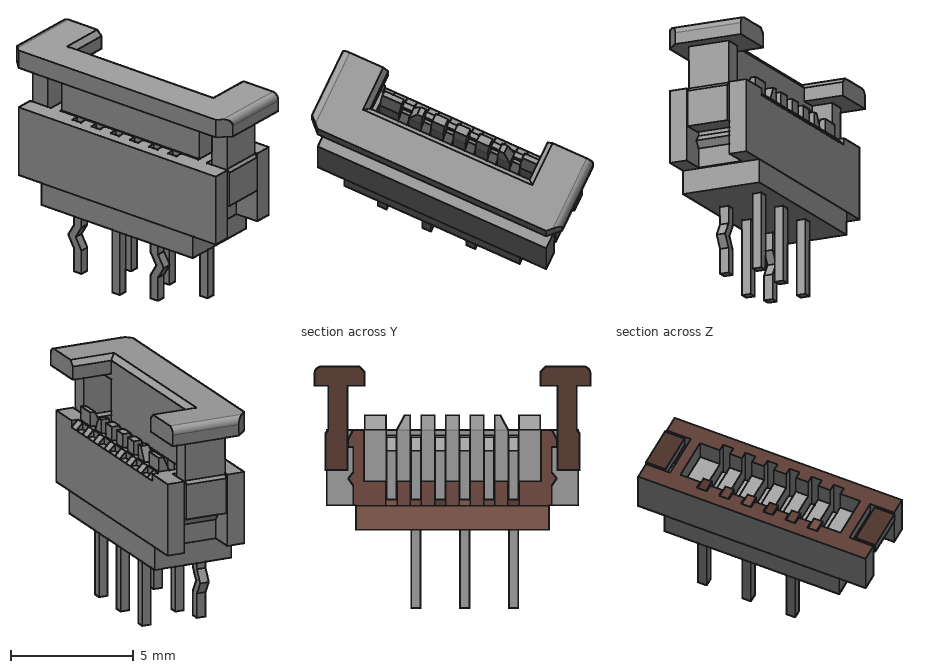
import cadquery as cq

CONTACT_COUNT = 6
LEG_SPACING = 2.0
PITCH = LEG_SPACING / 2
WIRE = 0.4
ROW_Y = LEG_SPACING / 2
LEG_LENGTH = 3.21
KINKED_LEG_LENGTH = 2.86
KINK_START = 0.75
KINK_PEAK = 1.27
KINK_END = 1.8
KINK_OFFSET = 0.3
KINKED_CONTACTS = {0: -1, 4: 1}
FOOT_HEIGHT = 0.25
FOOT_HALF_Y = ROW_Y + WIRE / 2
BEAM_BACK_Y = 1.23
BEAM_FRONT_Y = 0.68
BEAM_SLOPE_HEIGHT = 0.56
BEAM_TIP_WIDTH = 0.14
BEAM_TIP_Z = 2.87

DEPTH_Y = 3.5
HALF_Y = DEPTH_Y / 2
BASE_LENGTH = 7.91
BASE_HEIGHT = 1.0

HOUSING_LENGTH = 10.3
HOUSING_HEIGHT = 3.1
GROOVE_WIDTH = 1.97
WEB_X = 4.07
LATCH_RIDGE_X = 4.27
HOOK_TOP_Z = 2.71
HOOK_BOTTOM_Z = 2.38
RIDGE_PEAK_Z = 1.11
RIDGE_BOTTOM_Z = 0.81
RIDGE_TOP_Z = 1.36
CAVITY_LENGTH = 7.23
CAVITY_FRONT_Y = -0.95
CAVITY_BACK_Y = 0.9
CAVITY_FLOOR_Z = 1.0
SLOT_WIDTH = 0.44
SLOT_FRONT_Y = -1.28
SLOT_BACK_Y = BEAM_BACK_Y
REBATE = 0.29

GUIDE_HEIGHT = 0.6
GUIDE_BACK_Y = 1.39
GUIDE_END_TOP_Y = 1.18
GUIDE_MIDDLE_TOP_Y = 1.04
GUIDE_MIDDLE_SLANT = 0.32

BAR_LENGTH = 11.3
BAR_TOP_Z = 5.7
BAR_HEIGHT = 0.8
BAR_CORNER = 0.5
BAR_FILLET = 0.3
BLADE_LENGTH = 7.19
BLADE_FRONT_Y = -0.88
BLADE_BOTTOM_Z = 3.07
TONGUE_FRONT_Y = -0.84
TONGUE_BOTTOM_Z = 2.82
OPENING_CHAMFER = 0.23
LEG_HALF_Y = 0.92
LEG_INNER_X = 4.29
LEG_OUTER_X = 5.08
LATCH_X = 5.2
LATCH_BOTTOM_Z = 1.45
LATCH_CHAMFER_HEIGHT = 0.14
BRIDGE_HEIGHT = 0.25

BAR_BOTTOM_Z = BAR_TOP_Z - BAR_HEIGHT
FIRST_CONTACT_X = -PITCH * (CONTACT_COUNT - 1) / 2
CONTACT_XS = [FIRST_CONTACT_X + PITCH * i for i in range(CONTACT_COUNT)]


def block(x0, x1, y0, y1, z0, z1):
    """Box between two opposite corners."""
    return cq.Workplane("XY").box(x1 - x0, y1 - y0, z1 - z0, centered=False).translate((x0, y0, z0))


def yz_prism(points, x0, x1):
    """Prism along X with an outline of (Y, Z) points."""
    return cq.Workplane("YZ").workplane(offset=x0).polyline(points).close().extrude(x1 - x0)


def xz_prism(points, y0, y1):
    """Prism along Y with an outline of (X, Z) points."""
    return cq.Workplane("XZ").workplane(offset=-y1).polyline(points).close().extrude(y1 - y0)


def with_mirror(shape):
    """A shape together with its mirror image at the other X end."""
    return shape.union(shape.mirror("YZ"))


def row_y(index):
    """Legs alternate between the front row and the rear row."""
    return -ROW_Y if index % 2 == 0 else ROW_Y


def make_base():
    base = block(-BASE_LENGTH / 2, BASE_LENGTH / 2, -HALF_Y, HALF_Y, -BASE_HEIGHT, 0)
    leg_places = [(x, row_y(i)) for i, x in enumerate(CONTACT_XS)]
    holes = cq.Workplane("XY").pushPoints(leg_places).rect(WIRE, WIRE).extrude(-BASE_HEIGHT)
    return base.cut(holes)


def end_groove():
    """Groove at the -X end, with two latch ridges left standing on its bottom."""
    outer_x = -HOUSING_LENGTH / 2
    points = [
        (outer_x, 0),
        (-WEB_X, 0),
        (-WEB_X, RIDGE_BOTTOM_Z),
        (-LATCH_RIDGE_X, RIDGE_PEAK_Z),
        (-WEB_X, RIDGE_TOP_Z),
        (-WEB_X, HOOK_BOTTOM_Z),
        (-LATCH_RIDGE_X, HOOK_BOTTOM_Z),
        (-LATCH_RIDGE_X, HOOK_TOP_Z),
        (-WEB_X, HOUSING_HEIGHT),
        (outer_x, HOUSING_HEIGHT),
    ]
    return xz_prism(points, -GROOVE_WIDTH / 2, GROOVE_WIDTH / 2)


def guide_wall():
    """Two end blocks and a middle block, whose front faces lean back from the cavity edge."""
    top_z = HOUSING_HEIGHT + GUIDE_HEIGHT

    def leaning_block(top_y, x0, x1):
        points = [
            (CAVITY_BACK_Y, HOUSING_HEIGHT),
            (top_y, top_z),
            (GUIDE_BACK_Y, top_z),
            (GUIDE_BACK_Y, HOUSING_HEIGHT),
        ]
        return yz_prism(points, x0, x1)

    end_block = leaning_block(GUIDE_END_TOP_Y, -BLADE_LENGTH / 2, FIRST_CONTACT_X - SLOT_WIDTH / 2)
    half_middle = -FIRST_CONTACT_X - SLOT_WIDTH / 2
    slanted_ends = [
        (-half_middle, HOUSING_HEIGHT),
        (half_middle, HOUSING_HEIGHT),
        (half_middle - GUIDE_MIDDLE_SLANT, top_z),
        (-half_middle + GUIDE_MIDDLE_SLANT, top_z),
    ]
    middle = leaning_block(GUIDE_MIDDLE_TOP_Y, -half_middle, half_middle)
    middle = middle.intersect(xz_prism(slanted_ends, CAVITY_BACK_Y, GUIDE_BACK_Y))
    for x in CONTACT_XS:
        middle = middle.cut(
            block(x - SLOT_WIDTH / 2, x + SLOT_WIDTH / 2, CAVITY_BACK_Y, GUIDE_BACK_Y, HOUSING_HEIGHT, top_z)
        )
    return with_mirror(end_block).union(middle)


def rear_rebate():
    """Rebate along the rear top edge, with a ramp left behind each contact and at both ends."""
    ramp_count = CONTACT_COUNT + 2
    half_length = PITCH * (ramp_count - 1) / 2 + SLOT_WIDTH / 2
    floor_z = HOUSING_HEIGHT - REBATE
    front_y = HALF_Y - REBATE
    rebate = block(-half_length, half_length, front_y, HALF_Y, floor_z, HOUSING_HEIGHT)
    ramp = [(front_y, HOUSING_HEIGHT), (front_y, floor_z), (HALF_Y, floor_z)]
    for i in range(ramp_count):
        x = FIRST_CONTACT_X + PITCH * (i - 1)
        rebate = rebate.cut(yz_prism(ramp, x - SLOT_WIDTH / 2, x + SLOT_WIDTH / 2))
    return rebate


def make_housing():
    half_x = HOUSING_LENGTH / 2
    housing = block(-half_x, half_x, -HALF_Y, HALF_Y, 0, HOUSING_HEIGHT)
    housing = housing.cut(with_mirror(end_groove()))
    cavity = block(
        -CAVITY_LENGTH / 2, CAVITY_LENGTH / 2, CAVITY_FRONT_Y, CAVITY_BACK_Y, CAVITY_FLOOR_Z, HOUSING_HEIGHT
    )
    housing = housing.cut(cavity)
    for x in CONTACT_XS:
        housing = housing.cut(
            block(x - SLOT_WIDTH / 2, x + SLOT_WIDTH / 2, SLOT_FRONT_Y, SLOT_BACK_Y, 0, HOUSING_HEIGHT)
        )
    return housing.cut(rear_rebate()).union(guide_wall())


def slider_leg():
    """Leg at the -X end, with an outward latch at its lower part."""
    points = [
        (-LEG_INNER_X, BAR_BOTTOM_Z),
        (-LEG_OUTER_X, BAR_BOTTOM_Z),
        (-LEG_OUTER_X, HOUSING_HEIGHT),
        (-LATCH_X, HOUSING_HEIGHT - LATCH_CHAMFER_HEIGHT),
        (-LATCH_X, LATCH_BOTTOM_Z),
        (-LEG_INNER_X, LATCH_BOTTOM_Z),
    ]
    return xz_prism(points, -LEG_HALF_Y, LEG_HALF_Y)


def bar_opening():
    """Opening above the cavity, widened by a chamfer at the top."""
    half_blade = BLADE_LENGTH / 2
    opening = block(-half_blade, half_blade, 0, HALF_Y, BAR_BOTTOM_Z, BAR_TOP_Z)
    half_mouth = half_blade + OPENING_CHAMFER
    mouth_end = [
        (-half_blade, BAR_TOP_Z - OPENING_CHAMFER),
        (half_blade, BAR_TOP_Z - OPENING_CHAMFER),
        (half_mouth, BAR_TOP_Z),
        (-half_mouth, BAR_TOP_Z),
    ]
    mouth_side = [
        (0, BAR_TOP_Z - OPENING_CHAMFER),
        (HALF_Y, BAR_TOP_Z - OPENING_CHAMFER),
        (HALF_Y, BAR_TOP_Z),
        (-OPENING_CHAMFER, BAR_TOP_Z),
    ]
    mouth = xz_prism(mouth_end, -OPENING_CHAMFER, HALF_Y).intersect(
        yz_prism(mouth_side, -half_mouth, half_mouth)
    )
    return opening.union(mouth)


def slider_bar():
    """Top bar with rounded ends, cut front corners and an opening at the rear."""
    half_x = BAR_LENGTH / 2
    bar = block(-half_x, half_x, -HALF_Y, HALF_Y, BAR_BOTTOM_Z, BAR_TOP_Z)
    bar = bar.edges("|Y and >Z").fillet(BAR_FILLET)
    corner = (
        cq.Workplane("XY", origin=(0, 0, BAR_BOTTOM_Z))
        .polyline([(-half_x, -HALF_Y), (-half_x + BAR_CORNER, -HALF_Y), (-half_x, -HALF_Y + BAR_CORNER)])
        .close()
        .extrude(BAR_HEIGHT)
    )
    bar = bar.cut(with_mirror(corner))
    return bar.cut(bar_opening())


def make_slider():
    half_blade = BLADE_LENGTH / 2
    blade = block(-half_blade, half_blade, BLADE_FRONT_Y, 0, BLADE_BOTTOM_Z, BAR_BOTTOM_Z)
    tongue = block(-half_blade, half_blade, TONGUE_FRONT_Y, 0, TONGUE_BOTTOM_Z, BLADE_BOTTOM_Z)
    bridge = block(-LEG_INNER_X, LEG_INNER_X, BLADE_FRONT_Y, 0, BAR_BOTTOM_Z - BRIDGE_HEIGHT, BAR_BOTTOM_Z)
    return slider_bar().union(blade).union(tongue).union(bridge).union(with_mirror(slider_leg()))


def contact_leg(x, y, kink):
    """Leg through the base plate; a nonzero kink gives the X direction of its bend."""
    half = WIRE / 2
    if kink == 0:
        return block(x - half, x + half, y - half, y + half, -BASE_HEIGHT - LEG_LENGTH, 0)
    path = [
        (x, 0),
        (x, -BASE_HEIGHT - KINK_START),
        (x + kink * KINK_OFFSET, -BASE_HEIGHT - KINK_PEAK),
        (x, -BASE_HEIGHT - KINK_END),
        (x, -BASE_HEIGHT - KINKED_LEG_LENGTH),
    ]
    left_side = [(px - half, pz) for px, pz in path]
    right_side = [(px + half, pz) for px, pz in reversed(path)]
    return xz_prism(left_side + right_side, y - half, y + half)


def make_contact(x, y, kink):
    tip_radius = BEAM_TIP_WIDTH / 2
    round_z = BEAM_TIP_Z - tip_radius
    foot = block(x - SLOT_WIDTH / 2, x + SLOT_WIDTH / 2, -FOOT_HALF_Y, BEAM_BACK_Y, 0, FOOT_HEIGHT)
    beam = (
        cq.Workplane("YZ")
        .workplane(offset=x - WIRE / 2)
        .moveTo(BEAM_FRONT_Y, 0)
        .lineTo(BEAM_BACK_Y, 0)
        .lineTo(BEAM_BACK_Y, round_z)
        .threePointArc((BEAM_BACK_Y - tip_radius, BEAM_TIP_Z), (BEAM_BACK_Y - BEAM_TIP_WIDTH, round_z))
        .lineTo(BEAM_FRONT_Y, round_z - BEAM_SLOPE_HEIGHT)
        .close()
        .extrude(WIRE)
    )
    return foot.union(beam).union(contact_leg(x, y, kink))


base = make_base()
housing = make_housing()
slider = make_slider()
contacts = [make_contact(x, row_y(i), KINKED_CONTACTS.get(i, 0)) for i, x in enumerate(CONTACT_XS)]

result = cq.Compound.makeCompound(
    [base.val(), housing.val(), slider.val(), *[contact.val() for contact in contacts]]
)